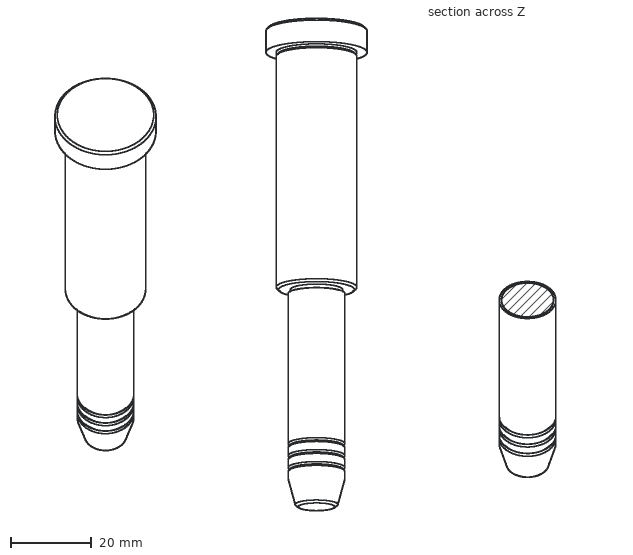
import cadquery as cq
import math

TOTAL_LENGTH = 121.0
HEAD_RADIUS = 25.0 / 2
BODY_RADIUS = 20.0 / 2
PIN_RADIUS = 14.0 / 2
HEAD_HEIGHT = 6.0
BODY_LENGTH = 60.0
EDGE_CHAMFER = 0.6

RELIEF_RADIUS = 13.0 / 2
RELIEF_HEIGHT = 1.0
GROOVE_WIDTH = 1.0
GROOVE_DEPTH = GROOVE_WIDTH / 2
GROOVE_COUNT = 3
GROOVE_PITCH = 3.0
LOWEST_GROOVE_BOTTOM = 9.0

TAPER_HEIGHT = 7.0
TAPER_ANGLE = 15.0

head_bottom = TOTAL_LENGTH - HEAD_HEIGHT
body_bottom = head_bottom - BODY_LENGTH
tip_radius = PIN_RADIUS - TAPER_HEIGHT * math.tan(math.radians(TAPER_ANGLE))


def cylinder(radius, bottom, top):
    return cq.Workplane("XY").workplane(offset=bottom).circle(radius).extrude(top - bottom)


def groove(radius, bottom):
    """V-shaped ring cutting inward from a cylinder of the given radius."""
    return (
        cq.Workplane("XZ")
        .moveTo(radius, bottom)
        .lineTo(radius - GROOVE_DEPTH, bottom + GROOVE_WIDTH / 2)
        .lineTo(radius, bottom + GROOVE_WIDTH)
        .lineTo(radius + GROOVE_DEPTH, bottom + GROOVE_WIDTH)
        .lineTo(radius + GROOVE_DEPTH, bottom)
        .close()
        .revolve(360, (0, 0, 0), (0, 1, 0))
    )


head = cylinder(HEAD_RADIUS, head_bottom, TOTAL_LENGTH).faces(">Z").chamfer(EDGE_CHAMFER)
body = cylinder(BODY_RADIUS, body_bottom, head_bottom).faces("<Z").chamfer(EDGE_CHAMFER)
body = body.cut(groove(BODY_RADIUS, head_bottom - GROOVE_WIDTH))

pin_top = body_bottom - RELIEF_HEIGHT
relief = cylinder(RELIEF_RADIUS, pin_top, body_bottom)
pin = cylinder(PIN_RADIUS, TAPER_HEIGHT, pin_top)
tip = cq.Workplane("XY").add(cq.Solid.makeCone(tip_radius, PIN_RADIUS, TAPER_HEIGHT))
tip = tip.faces("<Z").chamfer(EDGE_CHAMFER)

for index in range(GROOVE_COUNT):
    groove_bottom = LOWEST_GROOVE_BOTTOM + index * GROOVE_PITCH
    pin = pin.cut(groove(PIN_RADIUS, groove_bottom))

result = head.union(body).union(relief).union(pin).union(tip)